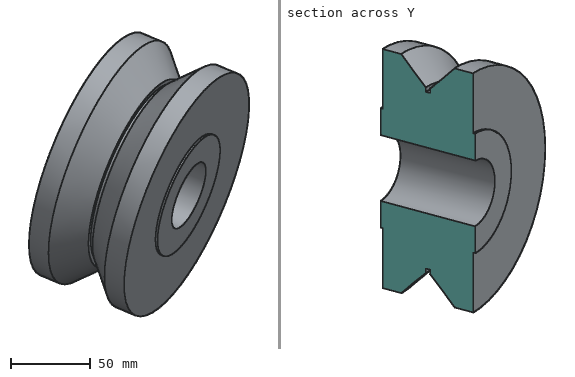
import cadquery as cq

OUTER_DIAMETER = 165.0
RIM_WIDTH = 68.0
HUB_WIDTH = 71.0
HUB_DIAMETER = 82.5
BORE_DIAMETER = 45.0

GROOVE_MOUTH_WIDTH = 40.0
RELIEF_WIDTH = 3.0
RELIEF_DIAMETER = 122.0

outer_radius = OUTER_DIAMETER / 2
hub_radius = HUB_DIAMETER / 2
bore_radius = BORE_DIAMETER / 2
relief_radius = RELIEF_DIAMETER / 2
half_rim = RIM_WIDTH / 2
half_hub = HUB_WIDTH / 2
half_mouth = GROOVE_MOUTH_WIDTH / 2
half_relief = RELIEF_WIDTH / 2

flank_depth = half_mouth - half_relief
flank_foot_radius = outer_radius - flank_depth


half_profile = [
    (half_hub, bore_radius),
    (half_hub, hub_radius),
    (half_rim, hub_radius),
    (half_rim, outer_radius),
    (half_mouth, outer_radius),
    (half_relief, flank_foot_radius),
    (half_relief, relief_radius),
]


def make_wheel():
    """Revolve the full wheel section, drawn on the -Y side, about the X axis."""
    right_points = [(x, -radius) for x, radius in half_profile]
    left_points = [(-x, y) for x, y in reversed(right_points)]
    section = cq.Workplane("XY").polyline(right_points + left_points).close()
    return section.revolve(360, (0, 0, 0), (1, 0, 0))


result = make_wheel()